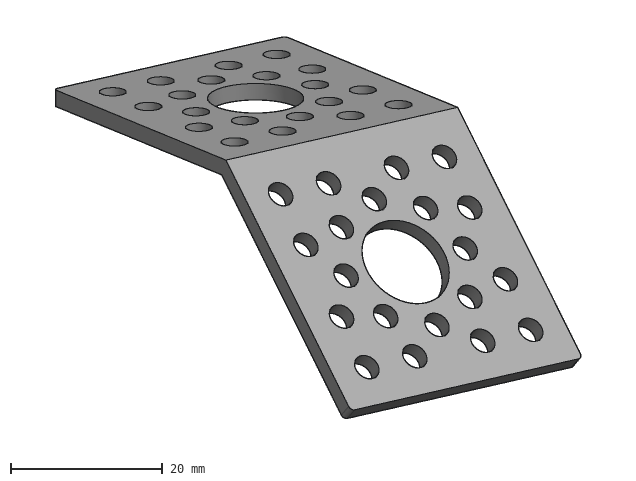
import cadquery as cq
import math

total_length = 65.7
width = 38.1
flange_length = width
thickness = 2.3
bend_angle = 45.0
corner_radius = 0.65

bore_diameter = 12.7
small_hole_diameter = 3.55
circle_radius = 9.8
circle_hole_count = 8
grid_outer = 13.5
grid_inner = 5.6

slope_length = (total_length - flange_length) / math.cos(math.radians(bend_angle))
miter = thickness * math.tan(math.radians(bend_angle / 2))


def hole_points():
    """Small hole centres: a bolt circle plus a square grid without its inner four."""
    points = []
    for i in range(circle_hole_count):
        angle = 2 * math.pi * i / circle_hole_count
        points.append((circle_radius * math.cos(angle), circle_radius * math.sin(angle)))
    grid = (-grid_outer, -grid_inner, grid_inner, grid_outer)
    for x in grid:
        for y in grid:
            if max(abs(x), abs(y)) == grid_outer:
                points.append((x, y))
    return points


def flange(length):
    """Flat drilled flange along +X from its mitred bend edge, upper face at Z = 0."""
    profile = [(0, 0), (length, 0), (length, -thickness), (miter, -thickness)]
    plate = (
        cq.Workplane("XZ")
        .polyline(profile)
        .close()
        .extrude(width / 2, both=True)
        .edges("|Z and >X")
        .fillet(corner_radius)
    )
    pattern_center = length - flange_length / 2
    holes = (
        cq.Workplane("XY")
        .center(pattern_center, 0)
        .circle(bore_diameter / 2)
        .pushPoints(hole_points())
        .circle(small_hole_diameter / 2)
        .extrude(-thickness)
    )
    return plate.cut(holes)


level_flange = flange(flange_length).rotate((0, 0, 0), (0, 0, 1), 180)
sloped_flange = flange(slope_length).rotate((0, 0, 0), (0, 1, 0), bend_angle)
result = level_flange.union(sloped_flange)